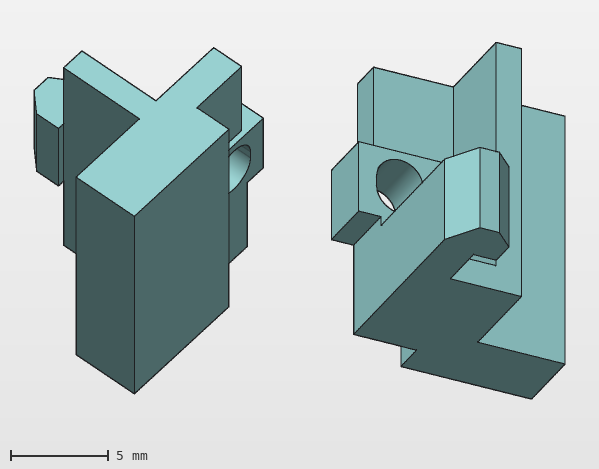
import cadquery as cq

width, depth, height = 14.3, 12.3, 14.75

block_left = 10.37
block_back = 7.45
flange_left = 5.27
flange_front = 4.99
flange_back = 6.43

rib_left, rib_right = 10.25, 12.14
rib_back = 10.97

lug_left, lug_right = 9.26, 12.46
lug_back = 11.03
lug_top = 9.44
overhang_bottom = 5.31
slot_width, slot_length = 2.65, 3.15
slot_center_y, slot_center_z = 9.95, 7.38

hook_height = 4.78
arm_front = 9.04
floor_height = 1.46
hook_inner_x = 2.57
hook_tip_y = 7.75
tip_chamfer_x = 1.09
tip_chamfer_y = 8.82
back_chamfer_x = 1.85
back_chamfer_y = 9.93


def box(x_range, y_range, z_range):
    """Box filling the given (start, end) range on each axis."""
    size = [end - start for start, end in (x_range, y_range, z_range)]
    corner = (x_range[0], y_range[0], z_range[0])
    return cq.Workplane("XY").box(*size, centered=False).translate(corner)


def make_hook():
    """Arm reaching out from the lug, with a chamfered catch turned forward."""
    outline = [
        (lug_left, lug_back),
        (back_chamfer_x, lug_back),
        (0, back_chamfer_y),
        (0, tip_chamfer_y),
        (tip_chamfer_x, hook_tip_y),
        (hook_inner_x, hook_tip_y),
        (hook_inner_x, arm_front),
        (lug_left, arm_front),
    ]
    return cq.Workplane("XY").polyline(outline).close().extrude(hook_height)


def make_lug():
    """Block around the rib, with an overhang and a rounded slot along X."""
    base = box((lug_left, lug_right), (flange_back, lug_back), (0, lug_top))
    overhang = box((lug_left, lug_right), (lug_back, depth), (overhang_bottom, lug_top))
    return base.union(overhang)


def make_slot():
    """Upright rounded slot through the lug and rib."""
    return (
        cq.Workplane("YZ", origin=(lug_left, slot_center_y, slot_center_z))
        .slot2D(slot_length, slot_width, 90)
        .extrude(lug_right - lug_left)
    )


block = box((block_left, width), (0, block_back), (0, height))
flange = box((flange_left, block_left), (flange_front, flange_back), (0, height))
rib = box((rib_left, rib_right), (flange_back, rib_back), (0, height))
floor = box((flange_left, lug_left), (flange_back, arm_front), (0, floor_height))

result = (
    block.union(flange)
    .union(rib)
    .union(floor)
    .union(make_lug())
    .union(make_hook())
    .cut(make_slot())
)